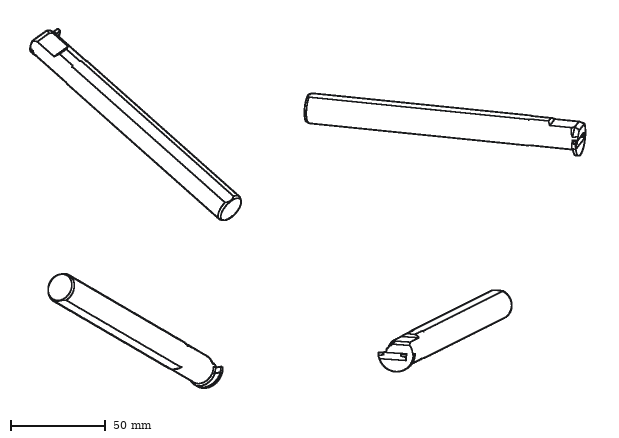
import cadquery as cq
import math

TOTAL_LENGTH = 150.0
SHANK_RADIUS = 16.0 / 2
FLAT_HEIGHT = 14.8 / 2
REAR_CHAMFER_LENGTH = 1.4
REAR_CHAMFER_DEPTH = 0.8

NECK_RADIUS = 15.6 / 2
NECK_END = 28.0
SHANK_START = 28.8
RELIEF_HEIGHT = 6.0
RELIEF_END = 16.0
RELIEF_RAMP_LENGTH = FLAT_HEIGHT - RELIEF_HEIGHT

HEAD_RADIUS = 19.8 / 2
HEAD_OFFSET = HEAD_RADIUS - NECK_RADIUS
HEAD_LENGTH = 2.8
NOSE_RADIUS = 7.5
RIM_LENGTH = 1.6
SHOULDER_LENGTH = 2.0
SHOULDER_RADIUS = 8.8
NOSE_BEVEL_HEIGHT = 4.8
CHIP_PLANE_REACH = 9.3
CHIP_RAMP_END = 4.0

INSERT_LENGTH = 16.0
INSERT_THICKNESS = 2.1
INSERT_BOTTOM = -3.5
INSERT_TOP = 0.2
INSERT_END_SLANT = 0.5
TIP_LENGTH = 3.2
TIP_DROP = 0.3
TIP_RELIEF_DEPTH = 0.2
TIP_RELIEF_INNER_Z = -1.2
TIP_RELIEF_OUTER_Z = -1.8
TIP_Y = HEAD_OFFSET + HEAD_RADIUS
HEEL_Y = TIP_Y - INSERT_LENGTH

CLEARANCE = 30.0


def bar():
    """Tapered nose, neck, step and shank turned about the X axis."""
    profile = [
        (0, 0),
        (0, NOSE_RADIUS),
        (HEAD_LENGTH, NECK_RADIUS),
        (NECK_END, NECK_RADIUS),
        (SHANK_START, SHANK_RADIUS),
        (TOTAL_LENGTH - REAR_CHAMFER_LENGTH, SHANK_RADIUS),
        (TOTAL_LENGTH, SHANK_RADIUS - REAR_CHAMFER_DEPTH),
        (TOTAL_LENGTH, 0),
    ]
    return cq.Workplane("XY").polyline(profile).close().revolve(360, (0, 0), (1, 0))


def side_block(points):
    """Cutting block with an XZ outline, spanning the full width in Y."""
    return cq.Workplane("XZ").polyline(points).close().extrude(CLEARANCE, both=True)


def top_cut():
    """Top flat, ramp, lower relief flat and nose bevel as one cut."""
    return side_block([
        (0, CLEARANCE),
        (0, NOSE_BEVEL_HEIGHT),
        (HEAD_LENGTH, RELIEF_HEIGHT),
        (RELIEF_END, RELIEF_HEIGHT),
        (RELIEF_END + RELIEF_RAMP_LENGTH, FLAT_HEIGHT),
        (TOTAL_LENGTH, FLAT_HEIGHT),
        (TOTAL_LENGTH, CLEARANCE),
    ])


def bottom_cut():
    """Lower flat of the shank."""
    return side_block([
        (NECK_END, -CLEARANCE),
        (NECK_END, -FLAT_HEIGHT),
        (TOTAL_LENGTH, -FLAT_HEIGHT),
        (TOTAL_LENGTH, -CLEARANCE),
    ])


def head_cylinder():
    """Full round envelope of the offset head."""
    return cq.Workplane("YZ").center(HEAD_OFFSET, 0).circle(HEAD_RADIUS).extrude(HEAD_LENGTH)


def head():
    """Lower half of the offset disc, thinning towards its rim."""
    profile = [
        (0, 0),
        (0, CLEARANCE),
        (RIM_LENGTH, CLEARANCE),
        (RIM_LENGTH, HEAD_RADIUS),
        (SHOULDER_LENGTH, SHOULDER_RADIUS),
        (HEAD_LENGTH, NECK_RADIUS),
        (HEAD_LENGTH, 0),
    ]
    rim = cq.Workplane("XY").polyline(profile).close().revolve(360, (0, 0), (1, 0))
    lower_half = side_block([
        (0, 0), (HEAD_LENGTH, 0), (HEAD_LENGTH, -CLEARANCE), (0, -CLEARANCE),
    ])
    return head_cylinder().intersect(rim).intersect(lower_half)


def chip_cut():
    """45 degree chip plane above the cutting tip, ramping out along the neck."""
    ramp_length = CHIP_RAMP_END - HEAD_LENGTH
    wedge = [
        (CHIP_PLANE_REACH, 0),
        (CLEARANCE, 0),
        (CLEARANCE, CLEARANCE),
        (CHIP_PLANE_REACH - CLEARANCE, CLEARANCE),
    ]
    ramp_shift = ramp_length * math.sqrt(2)
    outer_wedge = [(y + ramp_shift, z) for y, z in wedge]
    straight = cq.Workplane("YZ").polyline(wedge).close().extrude(HEAD_LENGTH)
    ramp = (
        cq.Workplane("YZ", origin=(HEAD_LENGTH, 0, 0)).polyline(wedge).close()
        .workplane(offset=ramp_length).polyline(outer_wedge).close()
        .loft(ruled=True)
    )
    return straight.union(ramp)


def insert_pocket():
    """Slot in the head face, open towards +Y."""
    outline = [
        (HEEL_Y + INSERT_END_SLANT, INSERT_BOTTOM),
        (CLEARANCE, INSERT_BOTTOM),
        (CLEARANCE, INSERT_TOP),
        (HEEL_Y, INSERT_TOP),
    ]
    return cq.Workplane("YZ").polyline(outline).close().extrude(INSERT_THICKNESS)


def tip_relief(end_y, inward):
    """Shallow recess in the front face of one tip; inward is the Y sign towards the middle."""
    inner_y = end_y + inward * TIP_LENGTH
    outline = [
        (inner_y, INSERT_TOP),
        (inner_y, TIP_RELIEF_INNER_Z),
        (end_y, TIP_RELIEF_OUTER_Z),
        (end_y, INSERT_TOP),
    ]
    return cq.Workplane("YZ").polyline(outline).close().extrude(TIP_RELIEF_DEPTH)


def make_insert():
    """Blade filling the pocket, with both tips dropped below its top and relieved in front."""
    blade = insert_pocket().intersect(head_cylinder())
    tip_cut_length = 2 * TIP_LENGTH
    for end_y, inward in ((TIP_Y, -1), (HEEL_Y, 1)):
        tip_cut = cq.Workplane("XY", origin=(0, end_y, -TIP_DROP)).box(
            CLEARANCE, tip_cut_length, CLEARANCE, centered=(True, True, False)
        )
        blade = blade.cut(tip_cut).cut(tip_relief(end_y, inward))
    return blade


def make_holder():
    holder = bar().union(head())
    holder = holder.cut(top_cut()).cut(bottom_cut())
    return holder.cut(chip_cut()).cut(insert_pocket())


holder = make_holder()
insert = make_insert()

result = cq.Compound.makeCompound([holder.val(), insert.val()])